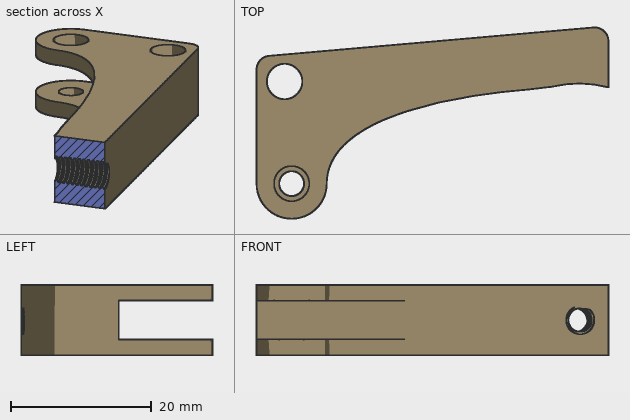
import cadquery as cq
import math

thickness = 10.0
pivot_radius = 5.0
lever_length = 50.0
left_x = -pivot_radius
tip_x = left_x + lever_length

back_angle = 5.0
back_slope = math.tan(math.radians(back_angle))
back_left_y = 18.0
corner_radius = 2.0

sweep_end = (33.63, 13.35)
sweep_end_slope = 0.08
sweep_start_handle = 9.15
sweep_end_handle = 12.0
hollow_start = (36.94, 13.74)
hollow_middle = (41.0, 14.2)
tip_front_y = 13.65

slot_width = 5.5
slot_floor_left_y = 8.32

pivot_hole_diameter = 3.5
pivot_upper_hole_diameter = 5.0
link_hole_diameter = 5.0
link_hole_center = (-1.0, 14.5)

thread_major_diameter = 4.0
thread_minor_diameter = 3.3
thread_pitch = 0.7
groove_mouth_width = 0.94 * thread_pitch
groove_root_width = thread_pitch / 4
groove_bore_overlap = 0.1
screw_back_x = 40.3
screw_overrun = 2.0


def back_y(x):
    """Y of the unrounded back edge at a given X."""
    return back_left_y + (x - left_x) * back_slope


def make_body():
    """Extruded lever outline with rounded back corners."""
    sweep_controls = [
        (pivot_radius, 0),
        (pivot_radius, sweep_start_handle),
        (sweep_end[0] - sweep_end_handle, sweep_end[1] - sweep_end_handle * sweep_end_slope),
        sweep_end,
    ]
    outline = (
        cq.Workplane("XY")
        .workplane(offset=-thickness / 2)
        .moveTo(left_x, 0)
        .threePointArc((0, -pivot_radius), (pivot_radius, 0))
        .bezier(sweep_controls)
        .lineTo(*hollow_start)
        .threePointArc(hollow_middle, (tip_x, tip_front_y))
        .lineTo(tip_x, back_y(tip_x))
        .lineTo(left_x, back_left_y)
        .close()
    )
    body = outline.extrude(thickness)
    back_corners = [(left_x, back_left_y, 0), (tip_x, back_y(tip_x), 0)]
    for corner in back_corners:
        edge = cq.selectors.NearestToPointSelector(corner)
        body = body.edges("|Z").edges(edge).fillet(corner_radius)
    return body


def make_slot():
    """Clevis slot, open toward -Y and at both sides."""
    slot_bottom_y = -2 * pivot_radius
    floor_rise = lever_length * back_slope
    return (
        cq.Workplane("XY")
        .workplane(offset=-slot_width / 2)
        .moveTo(left_x, slot_bottom_y)
        .lineTo(tip_x, slot_bottom_y)
        .lineTo(tip_x, slot_floor_left_y + floor_rise)
        .lineTo(left_x, slot_floor_left_y)
        .close()
        .extrude(slot_width)
    )


def drill_plate_holes(body):
    """Pivot hole, wider through the upper clevis wall, and plain link hole."""
    top = cq.Workplane("XY").workplane(offset=thickness / 2)
    pivot_hole = top.circle(pivot_hole_diameter / 2).extrude(-thickness)
    upper_hole = top.circle(pivot_upper_hole_diameter / 2).extrude(-thickness / 2)
    link_hole = top.center(*link_hole_center).circle(link_hole_diameter / 2).extrude(-thickness)
    return body.cut(pivot_hole).cut(upper_hole).cut(link_hole)


def make_screw_cutters():
    """Helical groove and bore, starting outside the back edge and running toward -Y."""
    slope_angle = math.radians(back_angle)
    inward = cq.Vector(math.sin(slope_angle), -math.cos(slope_angle), 0)
    mouth = cq.Vector(screw_back_x, back_y(screw_back_x), 0)
    start = mouth - inward * screw_overrun
    length = back_y(screw_back_x) - tip_front_y + 2 * screw_overrun
    placement = cq.Plane(origin=start.toTuple(), xDir=(0, 0, -1), normal=inward.toTuple())

    minor_radius = thread_minor_diameter / 2
    major_radius = thread_major_diameter / 2
    groove_inner_radius = minor_radius - groove_bore_overlap
    mouth_half = groove_mouth_width / 2
    root_half = groove_root_width / 2
    helix = cq.Wire.makeHelix(thread_pitch, length, minor_radius)
    groove = (
        cq.Workplane("XZ")
        .moveTo(groove_inner_radius, -mouth_half)
        .lineTo(major_radius, -root_half)
        .lineTo(major_radius, root_half)
        .lineTo(groove_inner_radius, mouth_half)
        .close()
        .sweep(cq.Workplane(helix), isFrenet=True)
    )
    bore = cq.Workplane("XY").circle(minor_radius).extrude(length)
    return [cutter.val().moved(cq.Location(placement)) for cutter in (groove, bore)]


def cut_screw_hole(body):
    """Threaded hole; the groove is cut before the bore that clears its inner edge."""
    for cutter in make_screw_cutters():
        body = body.cut(cq.Workplane(cutter))
    return body


plain_lever = drill_plate_holes(make_body().cut(make_slot()))
result = cut_screw_hole(plain_lever)